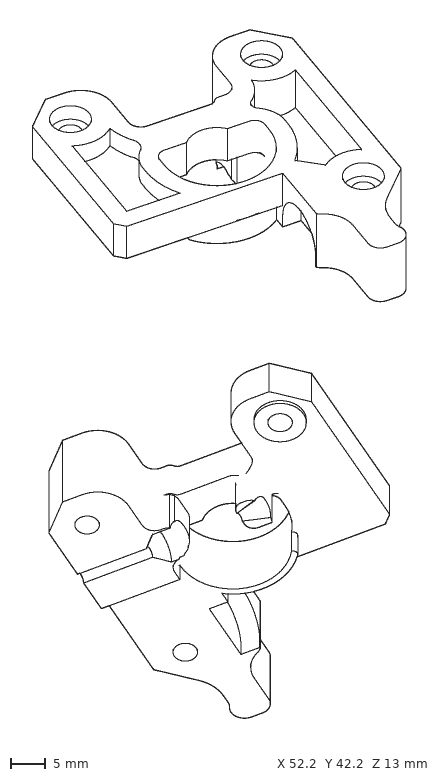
import cadquery as cq
import math


TOP_Z = 13.0
PLATE_BOTTOM_Z = 7.0
ARM_BOTTOM_Z = 3.0
LEG_BOTTOM_Z = 0.0
POST_BOTTOM_Z = 0.45

HALF_WIDTH = 21.1
CORNER_CUT = 4.5
EAR_RADIUS = 5.0
RIGHT_CUT = 1.4
ARM_FRONT_Y = 5.6
LEG_RIGHT_X = 0.0
LEG_INNER_X = -3.6
LEG_INNER_RADIUS = 2.0
NECK_LEFT_X = -9.0
NOTCH_RADIUS = 2.0
STEP_LEFT_X = -9.9
STEP_TOP_Y = 5.5
STEP_BOTTOM_Y = 3.8

HANDLE_TIP_X = 31.1
HANDLE_FRONT_Y = 9.0
HANDLE_BACK_Y = 15.0
HANDLE_WAIST_Y = 14.5
HANDLE_FRONT_RADIUS = 2.0
HANDLE_BACK_RADIUS = 2.2
SLOPE_START_X = 16.5
WAIST_RADIUS = 6.0
BUMP_START_X = 27.0
FRONT_CORNER_X = 19.75
FRONT_SWEEP_START = (20.15, 6.1)
FRONT_SWEEP_END_X = 24.5

HOLE_OFFSET = 15.5
HOLE_DIAMETER = 3.5
HEAD_DIAMETER = 6.0
HEAD_DEPTH = 2.5
BOSS_CENTER = (-HOLE_OFFSET, -HOLE_OFFSET)
BOSS_DIAMETER = 7.5
BOSS_HEIGHT = 0.6
HOLE_CENTERS = [(-HOLE_OFFSET, HOLE_OFFSET), (HOLE_OFFSET, HOLE_OFFSET), BOSS_CENTER]

BORE_RADIUS = 8.5
BORE_LEFT_X = -3.05
BORE_CORNER_RADIUS = 1.6
SHAFT_RELIEF_RADIUS = 4.5
RIM_THICKNESS = 1.0
RIM_RADIUS = BORE_RADIUS + RIM_THICKNESS
PLATE_RIGHT_X = RIM_RADIUS
RIM_OUTER_END_ANGLE = -51.3
RIM_INNER_END_ANGLE = -55.7

WALL = 3.0
POCKET_FAR_Y = HALF_WIDTH - WALL
POCKET_HOLE_RADIUS = 6.0
POCKET_BORE_RADIUS = BORE_RADIUS + WALL
POCKET_LEFT_CORNER = (-11.0, 11.5)
POCKET_NOTCH_SIDE = (-8.7, 10.75)
UPPER_POCKET_NOTCH = [(-7.1, 9.5), (-6.05, 8.83), (-5.1, 9.3)]
LOWER_POCKET_NOTCH = [(-7.4, 10.05), (-6.0, 9.4), (-4.6, 10.0)]
POCKET_BEND = (-3.2, 10.95)
POCKET_BEND_END_X = -1.5
UPPER_POCKET_DIAGONAL_X = 7.75
UPPER_POCKET_RIGHT_CORNER = (10.75, 11.9)
UPPER_POCKET_FLOOR_Z = 6.0
LOWER_POCKET_RIGHT_X = 6.5
LOWER_POCKET_FLOOR_Z = 9.8

PATH_X = -6.58
PATH_RADIUS = 0.95
POST_FUNNEL_RADIUS = 2.15
SOCKET_RADIUS = 3.0
SOCKET_END_Y = 8.0
FUNNEL_DEPTH = 2.0
NOSE_TIP_Y = 4.5
NOSE_CORNER_RADIUS = 1.5
NOSE_CORNER_FACETS = 3
POST_RIGHT_X = -3.55
POST_FRONT_Y = -8.55
POST_BACK_Y = -4.45
POST_FRONT_LEFT_RADIUS = 2.0
POST_BACK_RADIUS = 1.5
POST_CUT_WIDTH = 1.5
POST_CUT_DEPTH = 0.4
POST_ROOT_RADIUS = 1.0

ARCH_RADIUS = 5.0
ARCH_X = PLATE_RIGHT_X + ARCH_RADIUS
ARCH_CENTER_Z = 5.0
ARCH_DEPTH = 3.0


def prism(profile, bottom, top):
    return profile.extrude(top - bottom).translate((0, 0, bottom))


def box(x0, x1, y0, y1, z0, z1):
    return cq.Workplane("XY").box(x1 - x0, y1 - y0, z1 - z0, centered=False).translate((x0, y0, z0))


def cylinder(center, radius, bottom, top):
    return prism(cq.Workplane("XY").center(*center).circle(radius), bottom, top)


def polar(radius, degrees):
    angle = math.radians(degrees)
    return (radius * math.cos(angle), radius * math.sin(angle))


def plate_outline():
    cut = HALF_WIDTH - CORNER_CUT
    ear_x = EAR_RADIUS - HALF_WIDTH
    ear_y = BORE_RADIUS + EAR_RADIUS
    notch_y = BORE_RADIUS - NOTCH_RADIUS
    step_mid = ((STEP_LEFT_X + NECK_LEFT_X) / 2, (STEP_TOP_Y + STEP_BOTTOM_Y) / 2)

    waist_start_y = HANDLE_WAIST_Y + WAIST_RADIUS * (1 - math.cos(math.pi / 4))
    waist_start_x = SLOPE_START_X + HALF_WIDTH - waist_start_y
    waist_end_x = waist_start_x + WAIST_RADIUS * math.sin(math.pi / 4)

    bump_end_x = HANDLE_TIP_X - HANDLE_BACK_RADIUS
    bump_mid = ((BUMP_START_X + bump_end_x) / 2, (HANDLE_WAIST_Y + HANDLE_BACK_Y) / 2)
    return (
        cq.Workplane("XY")
        .moveTo(-cut, HALF_WIDTH)
        .lineTo(SLOPE_START_X, HALF_WIDTH)
        .lineTo(waist_start_x, waist_start_y)
        .tangentArcPoint((waist_end_x, HANDLE_WAIST_Y), relative=False)
        .lineTo(BUMP_START_X, HANDLE_WAIST_Y)
        .tangentArcPoint(bump_mid, relative=False)
        .tangentArcPoint((bump_end_x, HANDLE_BACK_Y), relative=False)
        .radiusArc((HANDLE_TIP_X, HANDLE_BACK_Y - HANDLE_BACK_RADIUS), HANDLE_BACK_RADIUS)
        .lineTo(HANDLE_TIP_X, HANDLE_FRONT_Y + HANDLE_FRONT_RADIUS)
        .radiusArc((HANDLE_TIP_X - HANDLE_FRONT_RADIUS, HANDLE_FRONT_Y), HANDLE_FRONT_RADIUS)
        .lineTo(FRONT_SWEEP_END_X, HANDLE_FRONT_Y)
        .tangentArcPoint(FRONT_SWEEP_START, relative=False)
        .lineTo(FRONT_CORNER_X, ARM_FRONT_Y)
        .lineTo(PLATE_RIGHT_X, ARM_FRONT_Y)
        .lineTo(PLATE_RIGHT_X, RIGHT_CUT - HALF_WIDTH)
        .lineTo(PLATE_RIGHT_X - RIGHT_CUT, -HALF_WIDTH)
        .lineTo(-cut, -HALF_WIDTH)
        .lineTo(-HALF_WIDTH, -cut)
        .lineTo(-HALF_WIDTH, -ear_y)
        .radiusArc((ear_x, -BORE_RADIUS), EAR_RADIUS)
        .lineTo(NECK_LEFT_X - NOTCH_RADIUS, -BORE_RADIUS)
        .radiusArc((NECK_LEFT_X, -notch_y), -NOTCH_RADIUS)
        .lineTo(NECK_LEFT_X, STEP_BOTTOM_Y)
        .tangentArcPoint(step_mid, relative=False)
        .tangentArcPoint((STEP_LEFT_X, STEP_TOP_Y), relative=False)
        .lineTo(STEP_LEFT_X, notch_y)
        .radiusArc((STEP_LEFT_X - NOTCH_RADIUS, BORE_RADIUS), -NOTCH_RADIUS)
        .lineTo(ear_x, BORE_RADIUS)
        .radiusArc((-HALF_WIDTH, ear_y), EAR_RADIUS)
        .lineTo(-HALF_WIDTH, cut)
        .close()
    )


def plate():
    return prism(plate_outline(), PLATE_BOTTOM_Z, TOP_Z)


def leg_and_arm():
    """Deep part under the plate: the left leg reaches lower than the arm."""
    leg_front_y = NOSE_TIP_Y + NOSE_CORNER_RADIUS
    leg_zone = box(-HALF_WIDTH, LEG_RIGHT_X, leg_front_y, HALF_WIDTH, LEG_BOTTOM_Z, PLATE_BOTTOM_Z)
    arm_zone = box(LEG_RIGHT_X, HANDLE_TIP_X, ARM_FRONT_Y, HALF_WIDTH, ARM_BOTTOM_Z, PLATE_BOTTOM_Z)
    full_depth = prism(plate_outline(), LEG_BOTTOM_Z, PLATE_BOTTOM_Z)
    return full_depth.intersect(leg_zone.union(arm_zone))


def bore_rim():
    """Thin wall around the right side of the bore, ending in a rounded tip."""
    outer_end = polar(RIM_RADIUS, RIM_OUTER_END_ANGLE)
    inner_end = polar(BORE_RADIUS, RIM_INNER_END_ANGLE)
    tip = polar((RIM_RADIUS + BORE_RADIUS) / 2, RIM_INNER_END_ANGLE)
    profile = (
        cq.Workplane("XY")
        .moveTo(*inner_end)
        .threePointArc((BORE_RADIUS, 0), (0, BORE_RADIUS))
        .lineTo(0, RIM_RADIUS)
        .threePointArc(polar(RIM_RADIUS, 45), (RIM_RADIUS, 0))
        .threePointArc(polar(RIM_RADIUS, RIM_OUTER_END_ANGLE / 2), outer_end)
        .threePointArc(tip, inner_end)
        .close()
    )
    return prism(profile, ARM_BOTTOM_Z, PLATE_BOTTOM_Z)


def nose():
    """Guide at the front of the leg, with faceted front corners."""
    corner_y = NOSE_TIP_Y + NOSE_CORNER_RADIUS
    left_corner = []
    right_corner = []
    for i in range(NOSE_CORNER_FACETS + 1):
        dx, dy = polar(NOSE_CORNER_RADIUS, 90 * i / NOSE_CORNER_FACETS)
        left_corner.append((STEP_LEFT_X + NOSE_CORNER_RADIUS - dx, corner_y - dy))
        right_corner.append((LEG_INNER_X - NOSE_CORNER_RADIUS + dx, corner_y - dy))
    back = [(LEG_INNER_X, BORE_RADIUS), (STEP_LEFT_X, BORE_RADIUS)]
    profile = cq.Workplane("XY").polyline(left_corner + right_corner[::-1] + back).close()
    return prism(profile, LEG_BOTTOM_Z, PLATE_BOTTOM_Z)


def post():
    """Rounded guide post under the neck, flared at its root and trimmed to the outline."""
    outline = [
        (NECK_LEFT_X, POST_FRONT_Y),
        (POST_RIGHT_X - POST_CUT_WIDTH, POST_FRONT_Y),
        (POST_RIGHT_X, POST_FRONT_Y + POST_CUT_DEPTH),
        (POST_RIGHT_X, POST_BACK_Y),
        (NECK_LEFT_X, POST_BACK_Y),
    ]
    body = prism(cq.Workplane("XY").polyline(outline).close(), POST_BOTTOM_Z, PLATE_BOTTOM_Z)
    body = body.edges("|Z and <X and <Y").fillet(POST_FRONT_LEFT_RADIUS)
    body = body.edges("|Z and >Y").fillet(POST_BACK_RADIUS)
    margin = 2 * POST_ROOT_RADIUS
    root = box(
        NECK_LEFT_X - margin, POST_RIGHT_X + margin,
        POST_FRONT_Y - margin, POST_BACK_Y + margin,
        PLATE_BOTTOM_Z, TOP_Z,
    )
    inside = cq.selectors.BoxSelector(
        (NECK_LEFT_X - POST_ROOT_RADIUS, POST_FRONT_Y - POST_ROOT_RADIUS, PLATE_BOTTOM_Z - POST_ROOT_RADIUS),
        (POST_RIGHT_X + POST_ROOT_RADIUS, POST_BACK_Y + POST_ROOT_RADIUS, PLATE_BOTTOM_Z + POST_ROOT_RADIUS),
    )
    flared = root.union(body).edges("not |Z").edges(inside).fillet(POST_ROOT_RADIUS)
    return flared.intersect(prism(plate_outline(), LEG_BOTTOM_Z, TOP_Z))


def screw_boss():
    return cylinder(BOSS_CENTER, BOSS_DIAMETER / 2, PLATE_BOTTOM_Z - BOSS_HEIGHT, PLATE_BOTTOM_Z)


def screw_hole(center):
    shank = cylinder(center, HOLE_DIAMETER / 2, LEG_BOTTOM_Z, TOP_Z)
    head = cylinder(center, HEAD_DIAMETER / 2, TOP_Z - HEAD_DEPTH, TOP_Z)
    return shank.union(head)


def bore():
    """D-shaped opening with a round relief on its flat side."""
    flat_side = box(BORE_LEFT_X, 0, -BORE_RADIUS, BORE_RADIUS, LEG_BOTTOM_Z, TOP_Z)
    flat_side = flat_side.edges("|Z and <X").fillet(BORE_CORNER_RADIUS)
    round_side = cylinder((0, 0), BORE_RADIUS, LEG_BOTTOM_Z, TOP_Z)
    round_side = round_side.intersect(box(0, BORE_RADIUS, -BORE_RADIUS, BORE_RADIUS, LEG_BOTTOM_Z, TOP_Z))
    relief = cylinder((0, 0), SHAFT_RELIEF_RADIUS, LEG_BOTTOM_Z, TOP_Z)
    return flat_side.union(round_side).union(relief)


def leg_clearance():
    """Widens the opening beside the leg, below the plate only."""
    room = box(LEG_INNER_X, LEG_RIGHT_X, 0, BORE_RADIUS, LEG_BOTTOM_Z, PLATE_BOTTOM_Z)
    return room.edges("|Z and <X and >Y").fillet(LEG_INNER_RADIUS)


def pocket_left_part(side_x, notch):
    """Pocket edge from the far left corner to the point above the shaft axis."""
    notch_start, notch_bottom, notch_end = notch
    return (
        cq.Workplane("XY")
        .moveTo(-side_x, POCKET_FAR_Y)
        .threePointArc((POCKET_HOLE_RADIUS - HOLE_OFFSET, HOLE_OFFSET), POCKET_LEFT_CORNER)
        .threePointArc(POCKET_NOTCH_SIDE, notch_start)
        .threePointArc(notch_bottom, notch_end)
        .threePointArc(POCKET_BEND, (POCKET_BEND_END_X, POCKET_BORE_RADIUS))
        .lineTo(0, POCKET_BORE_RADIUS)
    )


def pocket_corner_x():
    dy = POCKET_FAR_Y - HOLE_OFFSET
    return HOLE_OFFSET - math.sqrt(POCKET_HOLE_RADIUS ** 2 - dy ** 2)


def bore_wall_point(x):
    return (x, math.sqrt(POCKET_BORE_RADIUS ** 2 - x ** 2))


def upper_pocket():
    side_x = pocket_corner_x()
    profile = (
        pocket_left_part(side_x, UPPER_POCKET_NOTCH)
        .threePointArc(bore_wall_point(UPPER_POCKET_DIAGONAL_X / 2), bore_wall_point(UPPER_POCKET_DIAGONAL_X))
        .lineTo(*UPPER_POCKET_RIGHT_CORNER)
        .threePointArc((HOLE_OFFSET - POCKET_HOLE_RADIUS, HOLE_OFFSET), (side_x, POCKET_FAR_Y))
        .close()
    )
    return prism(profile, UPPER_POCKET_FLOOR_Z, TOP_Z)


def lower_pocket():
    profile = (
        pocket_left_part(pocket_corner_x(), LOWER_POCKET_NOTCH)
        .threePointArc(bore_wall_point(LOWER_POCKET_RIGHT_X / 2), bore_wall_point(LOWER_POCKET_RIGHT_X))
        .lineTo(LOWER_POCKET_RIGHT_X, POCKET_FAR_Y)
        .close()
    )
    return prism(profile, LOWER_POCKET_FLOOR_Z, TOP_Z).mirror("XZ")


def filament_path():
    """Groove along Y: a funnel in the post, then a socket and a funnel in the leg."""
    along_y = cq.Vector(0, 1, 0)
    start = cq.Vector(PATH_X, POST_FRONT_Y, LEG_BOTTOM_Z)
    mouth = cq.Vector(PATH_X, NOSE_TIP_Y, LEG_BOTTOM_Z)
    funnel_start = cq.Vector(PATH_X, SOCKET_END_Y, LEG_BOTTOM_Z)
    sections = [
        cq.Solid.makeCylinder(PATH_RADIUS, HALF_WIDTH - POST_FRONT_Y, start, along_y),
        cq.Solid.makeCone(POST_FUNNEL_RADIUS, PATH_RADIUS, POST_BACK_Y - POST_FRONT_Y, start, along_y),
        cq.Solid.makeCylinder(SOCKET_RADIUS, SOCKET_END_Y - NOSE_TIP_Y, mouth, along_y),
        cq.Solid.makeCone(SOCKET_RADIUS, PATH_RADIUS, FUNNEL_DEPTH, funnel_start, along_y),
    ]
    path = cq.Workplane("XY")
    for section in sections:
        path = path.add(section)
    return path.combine()


def arch_recess():
    back_y = ARM_FRONT_Y + ARCH_DEPTH
    start = cq.Vector(ARCH_X, ARM_FRONT_Y, ARCH_CENTER_Z)
    crown = cq.Workplane(cq.Solid.makeCylinder(ARCH_RADIUS, ARCH_DEPTH, start, cq.Vector(0, 1, 0)))
    sides = box(ARCH_X - ARCH_RADIUS, ARCH_X + ARCH_RADIUS, ARM_FRONT_Y, back_y, LEG_BOTTOM_Z, ARCH_CENTER_Z)
    return crown.union(sides)


result = plate()
for addition in (leg_and_arm(), bore_rim(), nose(), post(), screw_boss()):
    result = result.union(addition)

cuts = [bore(), leg_clearance(), upper_pocket(), lower_pocket(), filament_path(), arch_recess()]
cuts += [screw_hole(center) for center in HOLE_CENTERS]
for cut_body in cuts:
    result = result.cut(cut_body)